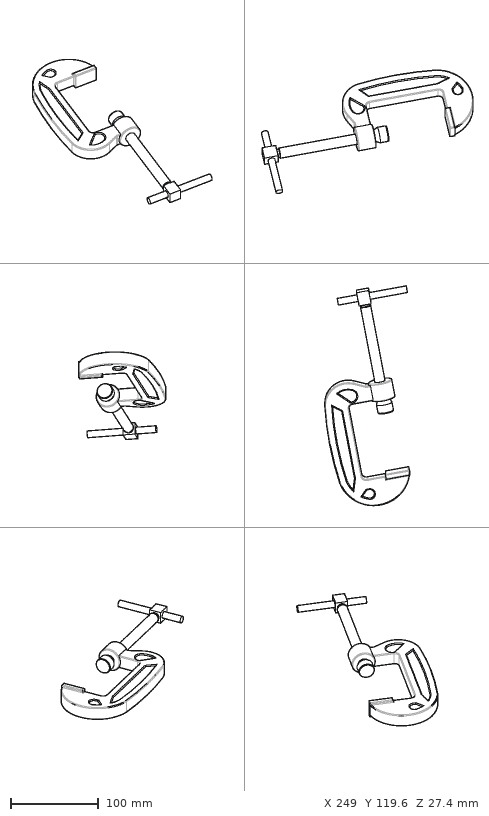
import cadquery as cq
import math


plate_thickness = 15.5
plate_edge_round = 1.0

back_radius = 41.5
back_centre = (back_radius, -26.0)
heel_radius = 26.9
heel_centre = (120.9, -40.4)
back_end_x = 34.4
belly_end_x = 125.3
belly_low_point = (80.0, -69.76)

throat_left = 32.3
throat_right = 121.6
throat_bottom = -40.4
throat_corner_radius = 5.0

neck_right = 139.3
neck_corner_radius = 3.0
heel_tangent_angle = math.radians(25.0)

anvil_left = 28.8
anvil_right = 34.8
anvil_half_length = 13.7
anvil_thickness = 20.0
anvil_round = 1.0

boss_radius = 13.7
boss_left = 120.3
boss_length = 20.8
boss_round = 1.0

recess_depth = 1.2
recess_wall_angle = 45.0
end_recess_margin = 7.4
web_recess_margin = 7.8
web_recess_top = -47.9
web_recess_left_x = 36.0
web_recess_right_x = 116.4
web_recess_tip_x = 21.0
round_recess_left_radius = 6.2
round_recess_left_angle = math.radians(199.0)
round_recess_left_line = -59.6
round_recess_right_radius = 8.0
round_recess_right_angle = math.radians(24.8)
round_recess_right_line = 86.3

screw_radius = 6.0
screw_end_x = 230.6
screw_chamfer = 0.6
screw_neck_radius = 5.0
pad_left = 104.4
pad_radius = 9.1
pad_chamfer_length = 1.1
pad_chamfer_depth = 0.6
pad_cylinder_end_x = 114.6
pad_cone_end_x = 119.9
pad_cone_end_radius = 6.5
overall_length = 248.96
head_length = 16.0
head_width = 14.0
handle_radius = 4.0
handle_length = 80.0
handle_top = 49.85


def circle_point(centre, radius, angle):
    """Point on a circle at an angle from +X."""
    return (centre[0] + radius * math.cos(angle), centre[1] + radius * math.sin(angle))


def lower_y(centre, radius, x):
    """Y of the lower half of a circle at a given X."""
    return centre[1] - math.sqrt(radius**2 - (x - centre[0]) ** 2)


def upper_y(centre, radius, x):
    """Y of the upper half of a circle at a given X."""
    return centre[1] + math.sqrt(radius**2 - (x - centre[0]) ** 2)


def line_hit(centre, radius, start, direction, sign):
    """Point where a line through start meets a circle; sign picks which of the two."""
    dx = start[0] - centre[0]
    dy = start[1] - centre[1]
    along = dx * direction[0] + dy * direction[1]
    across_squared = dx**2 + dy**2 - along**2
    step = -along + sign * math.sqrt(radius**2 - across_squared)
    return (start[0] + step * direction[0], start[1] + step * direction[1])


def frame_plate():
    back_top = (anvil_left, upper_y(back_centre, back_radius, anvil_left))
    back_end = (back_end_x, lower_y(back_centre, back_radius, back_end_x))
    belly_end = (belly_end_x, lower_y(heel_centre, heel_radius, belly_end_x))
    heel_end = circle_point(heel_centre, heel_radius, heel_tangent_angle)
    flank_rise = (heel_end[0] - neck_right) / math.tan(heel_tangent_angle)
    plate = (
        cq.Workplane("XY")
        .workplane(offset=-plate_thickness / 2)
        .moveTo(*back_top)
        .threePointArc((0, back_centre[1]), back_end)
        .threePointArc(belly_low_point, belly_end)
        .threePointArc((heel_centre[0] + heel_radius, heel_centre[1]), heel_end)
        .lineTo(neck_right, heel_end[1] + flank_rise)
        .lineTo(neck_right, 0)
        .lineTo(throat_right, 0)
        .lineTo(throat_right, throat_bottom)
        .lineTo(throat_left, throat_bottom)
        .lineTo(throat_left, back_top[1])
        .close()
        .extrude(plate_thickness)
    )
    throat_corners = cq.selectors.BoxSelector(
        (throat_left - plate_edge_round, throat_bottom - plate_edge_round, -plate_thickness),
        (throat_right + plate_edge_round, throat_bottom + plate_edge_round, plate_thickness),
    )
    plate = plate.edges("|Z").edges(throat_corners).fillet(throat_corner_radius)
    neck_corner = cq.selectors.NearestToPointSelector((neck_right, heel_end[1] + flank_rise, 0))
    plate = plate.edges("|Z").edges(neck_corner).fillet(neck_corner_radius)
    return plate.faces("<Z or >Z").edges().fillet(plate_edge_round)


def anvil():
    block = cq.Workplane("XY").box(
        anvil_right - anvil_left, 2 * anvil_half_length, anvil_thickness, centered=(False, True, True)
    )
    block = block.translate((anvil_left, 0, 0))
    return block.edges("not(<X and |Z)").fillet(anvil_round)


def boss():
    return (
        cq.Workplane("YZ")
        .workplane(offset=boss_left)
        .circle(boss_radius)
        .extrude(boss_length)
        .edges()
        .fillet(boss_round)
    )


def web_recess_outline(face):
    """The long recess, whose lower side keeps an even rim along the belly."""
    back_rim = back_radius - web_recess_margin
    heel_rim = heel_radius - web_recess_margin
    tip = (web_recess_tip_x, lower_y(back_centre, back_rim, web_recess_tip_x))
    belly_start = (back_end_x, lower_y(back_centre, back_rim, back_end_x))
    belly_end = (belly_end_x, lower_y(heel_centre, heel_rim, belly_end_x))
    tip_middle_x = (tip[0] + belly_start[0]) / 2
    return (
        face.moveTo(web_recess_left_x, web_recess_top)
        .lineTo(web_recess_right_x, web_recess_top)
        .lineTo(*belly_end)
        .threePointArc((belly_low_point[0], belly_low_point[1] + web_recess_margin), belly_start)
        .threePointArc((tip_middle_x, lower_y(back_centre, back_rim, tip_middle_x)), tip)
        .close()
    )


def left_recess_outline(face):
    """A rim arc, a small round that runs tangent into it, and a straight 45-degree side."""
    rim = back_radius - end_recess_margin
    small = round_recess_left_radius
    centre = circle_point(back_centre, rim - small, round_recess_left_angle)
    touch = circle_point(back_centre, rim, round_recess_left_angle)
    diagonal = (math.sqrt(0.5), math.sqrt(0.5))
    line_start = (0, round_recess_left_line)
    tip = line_hit(back_centre, rim, line_start, diagonal, -1)
    side_x = centre[0] + small
    tip_angle = math.atan2(tip[1] - back_centre[1], tip[0] - back_centre[0]) + 2 * math.pi
    rim_middle = circle_point(back_centre, rim, (tip_angle + round_recess_left_angle) / 2)
    return (
        face.moveTo(*tip)
        .lineTo(side_x, side_x + round_recess_left_line)
        .lineTo(side_x, centre[1])
        .threePointArc((centre[0], centre[1] + small), touch)
        .threePointArc(rim_middle, tip)
        .close()
    )


def right_recess_outline(face):
    """The counterpart of the left recess at the heel, its round ending on the straight side."""
    rim = heel_radius - end_recess_margin
    small = round_recess_right_radius
    centre = circle_point(heel_centre, rim - small, round_recess_right_angle)
    touch = circle_point(heel_centre, rim, round_recess_right_angle)
    diagonal = (math.sqrt(0.5), -math.sqrt(0.5))
    line_start = (round_recess_right_line, 0)
    tip = line_hit(heel_centre, rim, line_start, diagonal, 1)
    corner = line_hit(centre, small, line_start, diagonal, -1)
    tip_angle = math.atan2(tip[1] - heel_centre[1], tip[0] - heel_centre[0])
    rim_middle = circle_point(heel_centre, rim, (tip_angle + round_recess_right_angle) / 2)
    return (
        face.moveTo(*tip)
        .lineTo(*corner)
        .threePointArc((centre[0], centre[1] + small), touch)
        .threePointArc(rim_middle, tip)
        .close()
    )


def frame():
    body = frame_plate().union(anvil())
    anvil_foot = cq.selectors.BoxSelector(
        (anvil_left - anvil_round, -anvil_half_length - anvil_round, plate_thickness / 2 - anvil_round / 2),
        (throat_left, anvil_round, plate_thickness / 2 + anvil_round / 2),
    )
    body = body.edges(anvil_foot).fillet(anvil_round)
    body = body.union(boss())
    screw_hole = (
        cq.Workplane("YZ").workplane(offset=boss_left).circle(screw_radius).extrude(boss_length)
    )
    body = body.cut(screw_hole)
    for outline in (web_recess_outline, left_recess_outline, right_recess_outline):
        top_face = cq.Workplane("XY").workplane(offset=plate_thickness / 2)
        recess = outline(top_face).extrude(-recess_depth, taper=recess_wall_angle)
        body = body.cut(recess).cut(recess.mirror("XY"))
    return body


def spindle():
    head_x = overall_length - head_length
    turned = (
        cq.Workplane("XY")
        .moveTo(pad_left, 0)
        .lineTo(pad_left, -(pad_radius - pad_chamfer_depth))
        .lineTo(pad_left + pad_chamfer_length, -pad_radius)
        .lineTo(pad_cylinder_end_x, -pad_radius)
        .lineTo(pad_cone_end_x, -pad_cone_end_radius)
        .lineTo(pad_cone_end_x, -screw_radius)
        .lineTo(screw_end_x - screw_chamfer, -screw_radius)
        .lineTo(screw_end_x, -screw_neck_radius)
        .lineTo(head_x, -screw_neck_radius)
        .lineTo(head_x, 0)
        .close()
        .revolve(360, (0, 0, 0), (1, 0, 0))
    )
    head = cq.Workplane("XY").box(head_length, head_width, head_width, centered=(False, True, True))
    head = head.translate((head_x, 0, 0))
    handle = (
        cq.Workplane("XZ")
        .workplane(offset=-handle_top)
        .center(head_x + head_length / 2, 0)
        .circle(handle_radius)
        .extrude(handle_length)
    )
    return turned.union(head).union(handle)


result = cq.Compound.makeCompound([frame().val(), spindle().val()])